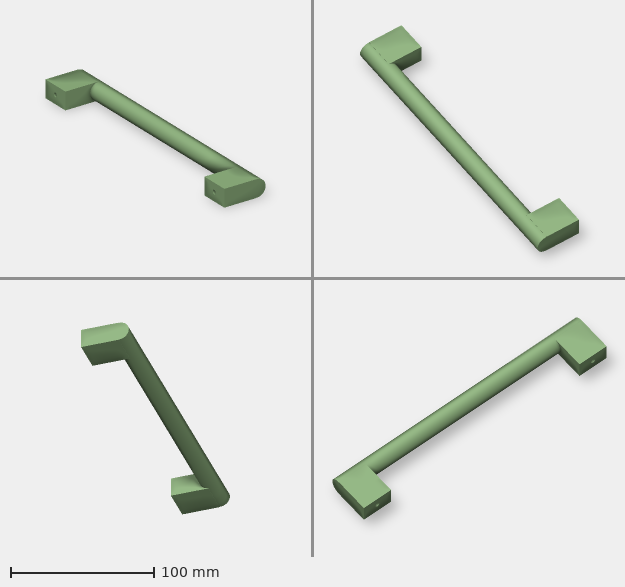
import cadquery as cq
import math

length = 217.0
depth = 35.2

bar_diameter = 14.0
bar_radius = bar_diameter / 2
bar_center_y = depth / 2 - bar_radius

block_length = 24.3
block_height = 14.5
block_depth = 27.5
block_spacing = length - block_length

hole_diameter = 3.5
hole_depth = 17.4
drill_point_angle = 118.0


def grip_bar():
    """Full-length round bar parallel to X."""
    bar = cq.Workplane("YZ", origin=(0, bar_center_y, 0)).circle(bar_radius)
    return bar.extrude(length / 2, both=True)


def mounting_block(center_x):
    """Rectangular block whose flat back face lies just in front of the bar axis."""
    block = cq.Workplane("XY").box(block_length, block_depth, block_height)
    return block.translate((center_x, (block_depth - depth) / 2, 0))


def mounting_hole(center_x):
    """Drill-shaped cutter entering the front face."""
    radius = hole_diameter / 2
    point_length = radius / math.tan(math.radians(drill_point_angle / 2))
    profile = (
        cq.Workplane("XY", origin=(center_x, -depth / 2, 0))
        .moveTo(0, 0)
        .lineTo(radius, 0)
        .lineTo(radius, hole_depth)
        .lineTo(0, hole_depth + point_length)
        .close()
    )
    return profile.revolve(360, (0, 0, 0), (0, 1, 0))


block_centers = (-block_spacing / 2, block_spacing / 2)
result = grip_bar()
for center_x in block_centers:
    result = result.union(mounting_block(center_x))
for center_x in block_centers:
    result = result.cut(mounting_hole(center_x))